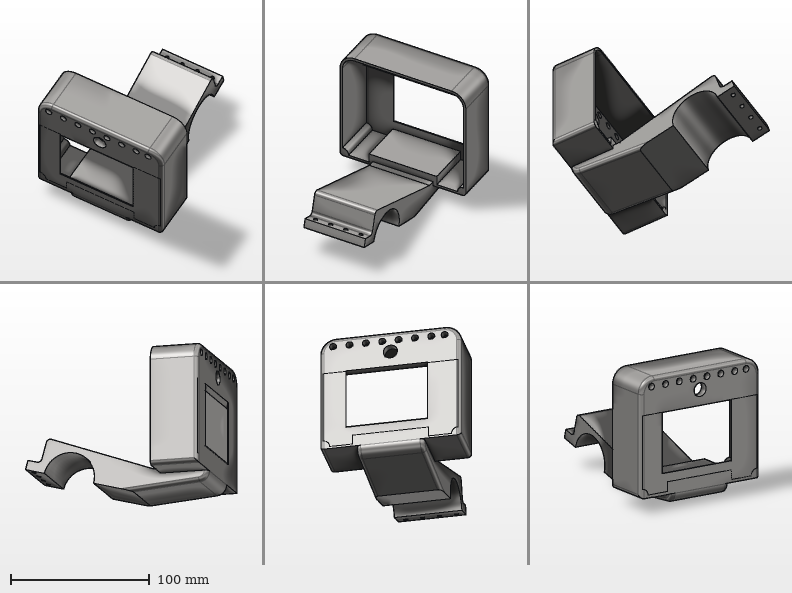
import cadquery as cq
import math

frame_width = 104.0
frame_height = 90.2
frame_depth = 35.8
top_corner_radius = 12.0
edge_radius = 3.0
side_wall = 2.0
front_wall = 0.8
floor_thickness = side_wall

window_left = -32.8
window_right = 27.5
window_bottom = 16.3
window_top = 62.2
button_diameter = 10.3
button_height = 74.1
light_diameter = 5.0
light_height = 83.2
light_pitch = 12.1
inner_light_count = 6
left_light_x = -42.4
right_light_x = 40.1

band_bottom = window_top
band_thickness = 6.0

pad_width = 56.0
pad_top = 9.3

post_radius = 5.0

arm_width = 50.0
arm_top = 3.6
arm_flat_end = 41.0
arm_front_depth = 7.1
arm_front_radius = 7.7
arm_edge_radius = 3.0
arm_low_y = 57.0
arm_low_z = -11.8
arm_peak_y = 120.8
arm_peak_z = 31.8
peak_radius = 3.0
hook_tilt = math.radians(15)
hook_end_y = 137.3
hook_end_z = 9.6
hook_thickness = 7.0
hook_length = 10.0
hook_root_radius = 3.0
saddle_offset = 14.7
saddle_radius = 19.1

tie_diameter = 3.0
tie_pitch = arm_width / 4
tie_count = 4
tie_inset = 4.7


def hook_point(along, up):
    """Point in (Y, Z) measured from the hook end, along the tilted lip and square to it."""
    y = hook_end_y - along * math.cos(hook_tilt) - up * math.sin(hook_tilt)
    z = hook_end_z - along * math.sin(hook_tilt) + up * math.cos(hook_tilt)
    return (y, z)


def spread(count, pitch):
    """Evenly spaced positions centred on zero."""
    return [(i - (count - 1) / 2) * pitch for i in range(count)]


def make_block(width, bottom, top, front, back):
    """Box centred on X, given its Z range and its Y range."""
    return (
        cq.Workplane("XY", origin=(0, front, bottom))
        .box(width, back - front, top - bottom, centered=(True, False, False))
    )


def edges_around(y, z):
    """Selector for edges whose middle lies close to (Y, Z), anywhere across the arm."""
    reach = 4.1
    half_width = arm_width / 2 + reach
    return cq.selectors.BoxSelector((-half_width, y - reach, z - reach), (half_width, y + reach, z + reach))


def make_frame():
    shell = make_block(frame_width, 0, frame_height, 0, frame_depth)
    shell = shell.edges("|Y and >Z").fillet(top_corner_radius)
    shell = shell.faces("<Y").edges("not <Z").fillet(edge_radius)
    rounded_base = make_block(frame_width, 0, frame_height, 0, frame_depth)
    rounded_base = rounded_base.edges("|Y and <Z").fillet(edge_radius)
    return shell.intersect(rounded_base)


def make_cavity():
    half_width = frame_width / 2 - side_wall
    cavity = make_block(2 * half_width, floor_thickness, frame_height - side_wall, front_wall, frame_depth)
    cavity = cavity.edges("|Y and >Z").fillet(top_corner_radius - side_wall)
    posts = (
        cq.Workplane("XZ")
        .pushPoints([(-half_width, floor_thickness), (half_width, floor_thickness)])
        .circle(post_radius)
        .extrude(-frame_depth)
    )
    band = make_block(frame_width, band_bottom, frame_height, 0, band_thickness)
    pad = make_block(pad_width, floor_thickness, pad_top, 0, frame_depth)
    return cavity.cut(posts).cut(band).cut(pad)


def make_arm():
    profile = (
        cq.Workplane("YZ", origin=(-arm_width / 2, 0, 0))
        .moveTo(0, arm_top)
        .lineTo(arm_flat_end, arm_top)
        .lineTo(arm_peak_y, arm_peak_z)
        .lineTo(*hook_point(hook_length, hook_thickness))
        .lineTo(*hook_point(0, hook_thickness))
        .lineTo(*hook_point(0, 0))
        .lineTo(*hook_point(saddle_offset, 0))
        .threePointArc(
            hook_point(saddle_offset + saddle_radius, saddle_radius),
            hook_point(saddle_offset + 2 * saddle_radius, 0),
        )
        .lineTo(arm_low_y, arm_low_z)
        .lineTo(0, -arm_front_depth)
        .close()
    )
    arm = profile.extrude(arm_width)
    hook_root = hook_point(hook_length, hook_thickness)
    arm = arm.edges("|X").edges(edges_around(arm_peak_y, arm_peak_z)).fillet(peak_radius)
    arm = arm.edges("|X").edges(edges_around(*hook_root)).fillet(hook_root_radius)
    arm = arm.edges("|X").edges(edges_around(0, -arm_front_depth)).fillet(arm_front_radius)
    underside_middle = (arm_low_y / 2, (arm_low_z - arm_front_depth) / 2)
    return arm.edges(edges_around(*underside_middle)).fillet(arm_edge_radius)


def make_front_openings():
    window = (
        cq.Workplane("XZ")
        .moveTo(window_left, window_bottom)
        .lineTo(window_right, window_bottom)
        .lineTo(window_right, window_top)
        .lineTo(window_left, window_top)
        .close()
        .extrude(-front_wall)
    )
    button = cq.Workplane("XZ").center(0, button_height).circle(button_diameter / 2).extrude(-band_thickness)
    light_x = spread(inner_light_count, light_pitch) + [left_light_x, right_light_x]
    lights = (
        cq.Workplane("XZ")
        .pushPoints([(x, light_height) for x in light_x])
        .circle(light_diameter / 2)
        .extrude(-band_thickness)
    )
    return window.union(button).union(lights)


def make_tie_holes():
    y, z = hook_point(tie_inset, 0)
    axis = (0, -math.sin(hook_tilt), math.cos(hook_tilt))
    plane = cq.Plane(origin=(0, y, z), xDir=(1, 0, 0), normal=axis)
    return (
        cq.Workplane(plane)
        .pushPoints([(x, 0) for x in spread(tie_count, tie_pitch)])
        .circle(tie_diameter / 2)
        .extrude(hook_thickness)
    )


frame = make_frame().cut(make_cavity())
result = frame.union(make_arm()).cut(make_front_openings()).cut(make_tie_holes())